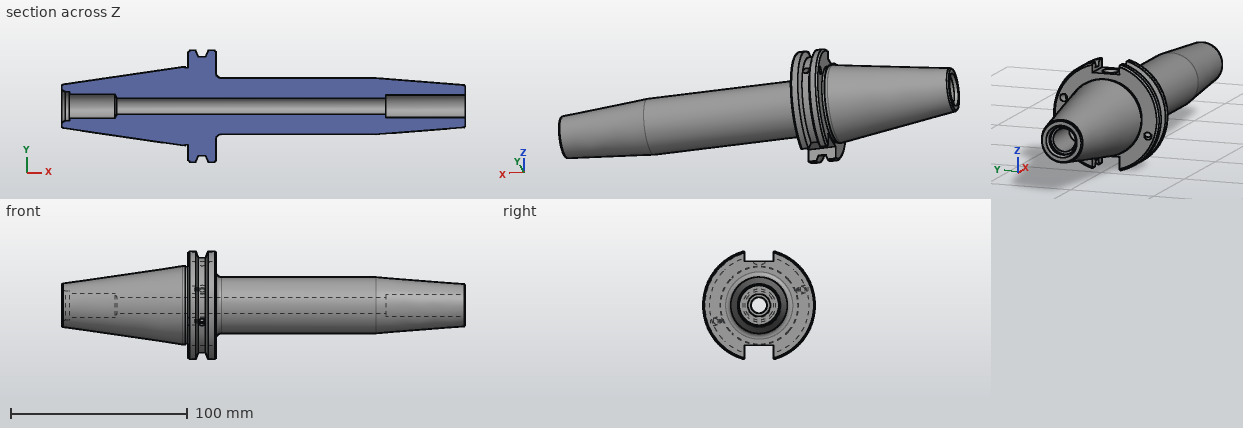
import cadquery as cq
import math

shank_length = 68.25
projection = 160.0
gauge_diameter = 44.45
taper_ratio = 7 / 24
shank_end_chamfer_length = 1.0
shank_end_chamfer_height = 0.5
gauge_land = 1.6
relief_diameter = 43.6

flange_diameter = 63.5
flange_front = 3.175
flange_thickness = 15.875
flange_front_chamfer = 1.1
flange_back_chamfer = 0.8
groove_center = 11.1
groove_floor_diameter = 56.2
groove_floor_width = 4.0
groove_top_width = 7.0

body_diameter = 32.0
body_fillet = 3.0
nose_diameter = 24.0
nose_taper_angle = 4.5
nose_chamfer = 0.8

countersink_diameter = 18.6
counterbore_diameter = 16.3
countersink_depth = 2.0
counterbore_depth = 4.5
thread_diameter = 13.39
thread_depth = 30.0
bore_cone_angle = 60.0
through_diameter = 8.92
tool_bore_diameter = 12.7
tool_bore_depth = 45.0

slot_width = 16.26
top_slot_height = 25.0
bottom_slot_height = 22.6
slot_edge_break = 0.65
dimple_diameter = 9.53

coolant_angle = 20.0
coolant_entry_radius = 27.0
coolant_lean = 20.0
coolant_diameter = 4.2
coolant_depth = 4.5
plug_thread_diameter = 4.0
plug_thread_depth = 4.0
plug_core_diameter = 3.24
plug_core_depth = 5.0
drill_tip_half_angle = 59.0
drill_lead = 1.0

shank_end = -shank_length
flange_back = flange_front + flange_thickness
flange_radius = flange_diameter / 2


def revolve_about_x(profile):
    return profile.close().revolve(360, (0, 0, 0), (1, 0, 0))


def make_body():
    """Outer shape: taper shank, grooved flange, straight body and tapered nose."""
    gauge_radius = gauge_diameter / 2
    shank_end_radius = gauge_radius - shank_length * taper_ratio / 2
    relief_radius = relief_diameter / 2
    groove_radius = groove_floor_diameter / 2
    body_radius = body_diameter / 2
    nose_radius = nose_diameter / 2
    taper_slope = taper_ratio / 2
    chamfer_end = shank_end + shank_end_chamfer_length
    nose_slope = math.tan(math.radians(nose_taper_angle))
    nose_start = projection - (body_radius - nose_radius) / nose_slope
    arc_offset = body_fillet * (1 - math.sqrt(0.5))
    return revolve_about_x(
        cq.Workplane("XY")
        .moveTo(shank_end, 0)
        .lineTo(shank_end, shank_end_radius - shank_end_chamfer_height)
        .lineTo(chamfer_end, shank_end_radius + shank_end_chamfer_length * taper_slope)
        .lineTo(0, gauge_radius)
        .lineTo(gauge_land, gauge_radius)
        .lineTo(gauge_land, relief_radius)
        .lineTo(flange_front, relief_radius)
        .lineTo(flange_front, flange_radius - flange_front_chamfer)
        .lineTo(flange_front + flange_front_chamfer, flange_radius)
        .lineTo(groove_center - groove_top_width / 2, flange_radius)
        .lineTo(groove_center - groove_floor_width / 2, groove_radius)
        .lineTo(groove_center + groove_floor_width / 2, groove_radius)
        .lineTo(groove_center + groove_top_width / 2, flange_radius)
        .lineTo(flange_back - flange_back_chamfer, flange_radius)
        .lineTo(flange_back, flange_radius - flange_back_chamfer)
        .lineTo(flange_back, body_radius + body_fillet)
        .threePointArc(
            (flange_back + arc_offset, body_radius + arc_offset),
            (flange_back + body_fillet, body_radius),
        )
        .lineTo(nose_start, body_radius)
        .lineTo(projection - nose_chamfer, nose_radius + nose_chamfer * nose_slope)
        .lineTo(projection, nose_radius - nose_chamfer)
        .lineTo(projection, 0)
    )


def make_bore():
    """Axial bore: pull-stud counterbore and thread, coolant passage and tool bore."""
    countersink_radius = countersink_diameter / 2
    counterbore_radius = counterbore_diameter / 2
    thread_radius = thread_diameter / 2
    through_radius = through_diameter / 2
    tool_bore_radius = tool_bore_diameter / 2
    counterbore_floor = shank_end + counterbore_depth
    thread_end = shank_end + thread_depth
    cone_length = (thread_radius - through_radius) / math.tan(math.radians(bore_cone_angle))
    tool_bore_floor = projection - tool_bore_depth
    return revolve_about_x(
        cq.Workplane("XY")
        .moveTo(shank_end, 0)
        .lineTo(shank_end, countersink_radius)
        .lineTo(shank_end + countersink_depth, counterbore_radius)
        .lineTo(counterbore_floor, counterbore_radius)
        .lineTo(counterbore_floor, thread_radius)
        .lineTo(thread_end, thread_radius)
        .lineTo(thread_end + cone_length, through_radius)
        .lineTo(tool_bore_floor, through_radius)
        .lineTo(tool_bore_floor, tool_bore_radius)
        .lineTo(projection, tool_bore_radius)
        .lineTo(projection, 0)
    )


def make_slot(floor_height):
    """Drive slot on the +Z side, with its rim corners broken at 45 degrees."""
    half_width = slot_width / 2
    rim_height = math.sqrt(flange_radius**2 - half_width**2)
    flare_height = flange_radius - rim_height + slot_edge_break
    return (
        cq.Workplane("YZ", origin=(flange_front, 0, 0))
        .moveTo(-half_width, floor_height)
        .lineTo(half_width, floor_height)
        .lineTo(half_width, rim_height - slot_edge_break)
        .lineTo(half_width + flare_height, flange_radius)
        .lineTo(-half_width - flare_height, flange_radius)
        .lineTo(-half_width, rim_height - slot_edge_break)
        .close()
        .extrude(flange_thickness)
    )


def make_dimple():
    """Conical dimple in the floor of the upper drive slot."""
    radius = dimple_diameter / 2
    depth = radius / math.tan(math.radians(drill_tip_half_angle))
    slot_center = flange_front + flange_thickness / 2
    apex = cq.Vector(slot_center, 0, top_slot_height - depth)
    return cq.Workplane(cq.Solid.makeCone(0, radius, depth, apex, cq.Vector(0, 0, 1)))


def make_drill(diameter, depth, entry, direction):
    """Blind drilled hole with a conical bottom below its full-diameter depth."""
    radius = diameter / 2
    tip_length = radius / math.tan(math.radians(drill_tip_half_angle))
    barrel = cq.Solid.makeCylinder(radius, depth + drill_lead, entry - direction * drill_lead, direction)
    tip = cq.Solid.makeCone(radius, 0, tip_length, entry + direction * depth, direction)
    return cq.Workplane(barrel).union(cq.Workplane(tip))


def make_coolant_holes():
    """On the +Y side: a hole leaning inward from the flange front, and a stepped hole in the groove."""
    around = math.radians(coolant_angle)
    lean = math.radians(coolant_lean)
    forward = cq.Vector(1, 0, 0)
    outward = cq.Vector(0, math.cos(around), math.sin(around))
    inclined = make_drill(
        coolant_diameter,
        coolant_depth,
        forward * flange_front + outward * coolant_entry_radius,
        forward * math.cos(lean) - outward * math.sin(lean),
    )
    groove_entry = forward * groove_center + outward * (groove_floor_diameter / 2)
    thread = cq.Workplane(
        cq.Solid.makeCylinder(
            plug_thread_diameter / 2,
            plug_thread_depth + drill_lead,
            groove_entry + outward * drill_lead,
            outward * -1,
        )
    )
    core = make_drill(plug_core_diameter, plug_core_depth, groove_entry, outward * -1)
    return inclined.union(thread).union(core)


def turn_half(shape):
    return shape.rotate((0, 0, 0), (1, 0, 0), 180)


result = (
    make_body()
    .cut(make_bore())
    .cut(make_slot(top_slot_height))
    .cut(turn_half(make_slot(bottom_slot_height)))
    .cut(make_dimple())
    .cut(make_coolant_holes())
    .cut(turn_half(make_coolant_holes()))
)